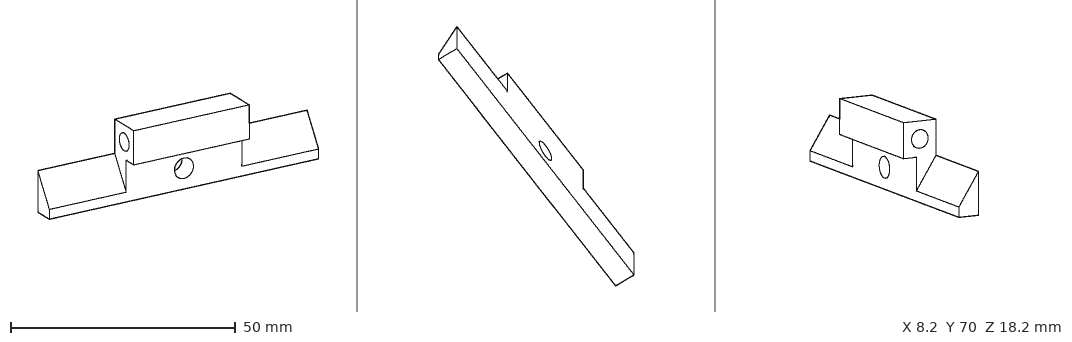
import cadquery as cq

rail_length = 70.0
rail_width = 5.0
rail_height = 10.0
toe_height = 2.4

block_length = 30.0
block_size = 8.2
total_height = rail_height + block_size

long_hole_diameter = 4.2
cross_hole_diameter = 4.9


def extrude_along_length(points, length):
    """Extrude an XZ outline symmetrically about the middle of the length."""
    return cq.Workplane("XZ").polyline(points).close().extrude(length / 2, both=True)


rail = extrude_along_length(
    [(0, 0), (rail_width, 0), (rail_width, toe_height), (0, rail_height)],
    rail_length,
)

block = extrude_along_length(
    [
        (0, 0),
        (rail_width, 0),
        (rail_width, rail_height),
        (block_size, rail_height),
        (block_size, total_height),
        (0, total_height),
    ],
    block_length,
)

long_hole = (
    cq.Workplane("XZ")
    .center(block_size / 2, rail_height + block_size / 2)
    .circle(long_hole_diameter / 2)
    .extrude(block_length, both=True)
)

cross_hole = (
    cq.Workplane("YZ")
    .center(0, rail_height / 2)
    .circle(cross_hole_diameter / 2)
    .extrude(block_size)
)

result = rail.union(block).cut(long_hole).cut(cross_hole)